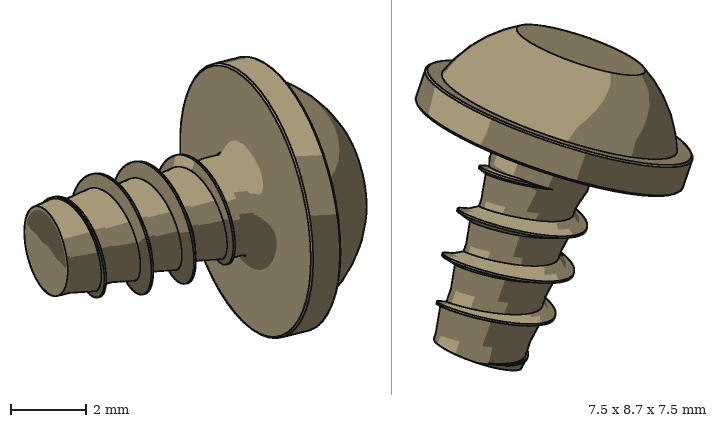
import cadquery as cq
import math


flange_radius = 3.75
flange_thickness = 0.9
flange_edge = 0.05
head_height = 2.7
dome_base_radius = 3.3
dome_top_radius = 1.8

shank_length = 6.0
neck_radius = 1.375
underhead_fillet = 0.5
neck_end = -0.87
cone_end = -1.41
root_radius = 1.227
tip_dent_radius = 1.13
tip_dent_depth = 0.1

pitch = 1.283
crest_radius = 1.742
first_crest_y = -1.18
first_turn = -0.5
last_turn = 4.25
points_per_turn = 16

rise_start_turn = -0.25
rise_end_turn = 0.75
rise_height = 0.25
fall_start_turn = 2.2
fall_per_turn = 0.34

crest_half_width = 0.03
kink_offset = -0.11
kink_radius = 1.48
leading_foot_offset = -0.275
trailing_foot_offset = 0.188
trailing_foot_radius = 1.327
buried_radius = 1.1
trim_radius = 2 * crest_radius

taper_end_offset = 0.808
taper_tip_radius = 1.232
taper_overrun = 0.06
taper_slope = (trailing_foot_radius - root_radius) / (taper_end_offset - trailing_foot_offset)


def make_body():
    """Head, neck and plain root cylinder as one turned profile."""
    dome_centre_y = (
        head_height**2 + dome_top_radius**2 - flange_thickness**2 - dome_base_radius**2
    ) / (2 * (head_height - flange_thickness))
    dome_radius = math.hypot(dome_top_radius, head_height - dome_centre_y)
    dome_mid_y = (head_height + flange_thickness) / 2
    dome_mid_radius = math.sqrt(dome_radius**2 - (dome_mid_y - dome_centre_y) ** 2)
    fillet_outer_radius = neck_radius + underhead_fillet
    fillet_inset = underhead_fillet * (1 - math.sqrt(0.5))
    return (
        cq.Workplane("XY")
        .moveTo(0, head_height)
        .lineTo(dome_top_radius, head_height)
        .threePointArc((dome_mid_radius, dome_mid_y), (dome_base_radius, flange_thickness))
        .lineTo(flange_radius - flange_edge, flange_thickness)
        .lineTo(flange_radius, flange_thickness - flange_edge)
        .lineTo(flange_radius, flange_edge)
        .lineTo(flange_radius - flange_edge, 0)
        .lineTo(fillet_outer_radius, 0)
        .threePointArc(
            (neck_radius + fillet_inset, -fillet_inset), (neck_radius, -underhead_fillet)
        )
        .lineTo(neck_radius, neck_end)
        .lineTo(root_radius, cone_end)
        .lineTo(root_radius, -shank_length)
        .lineTo(0, -shank_length)
        .close()
        .revolve(360, (0, 0, 0), (0, 1, 0))
    )


def crest_sink(turn):
    """How far the tooth is sunk towards the axis at a given turn."""
    start_sink = rise_height * max(0, rise_end_turn - turn) / (rise_end_turn - rise_start_turn)
    end_sink = fall_per_turn * max(0, turn - fall_start_turn)
    return start_sink + end_sink


def no_sink(turn):
    """The core taper keeps the same radius at every turn."""
    return 0


def helix_edge(offset, radius, sink):
    """Helix through one corner of a thread section."""
    steps = math.ceil((last_turn - first_turn) * points_per_turn)
    points = []
    for step in range(steps + 1):
        turn = first_turn + (last_turn - first_turn) * step / steps
        angle = 2 * math.pi * turn
        local_radius = radius - sink(turn)
        y = first_crest_y - offset - pitch * turn
        points.append(cq.Vector(local_radius * math.cos(angle), y, local_radius * math.sin(angle)))
    return cq.Edge.makeSpline(points)


def make_ridge(section, sink):
    """Helical solid swept by a section given as (offset, radius) corners."""
    edges = [helix_edge(offset, radius, sink) for offset, radius in section]
    next_edges = edges[1:] + edges[:1]
    faces = [cq.Face.makeRuledSurface(a, b) for a, b in zip(edges, next_edges)]
    for end in (0, 1):
        corners = [edge.positionAt(end) for edge in edges]
        faces.append(cq.Face.makeFromWires(cq.Wire.makePolygon(corners, close=True)))
    ridge = cq.Solid.makeSolid(cq.Shell.makeShell(faces))
    return cq.Workplane(ridge.fix())


def make_tooth():
    """Cutting tooth with a kinked leading flank, its feet continued into the core."""
    leading_slope = (kink_offset - leading_foot_offset) / (kink_radius - root_radius)
    trailing_slope = (trailing_foot_offset - crest_half_width) / (crest_radius - trailing_foot_radius)
    section = [
        (leading_foot_offset - leading_slope * (root_radius - buried_radius), buried_radius),
        (kink_offset, kink_radius),
        (-crest_half_width, crest_radius),
        (crest_half_width, crest_radius),
        (trailing_foot_offset + trailing_slope * (trailing_foot_radius - buried_radius), buried_radius),
    ]
    return make_ridge(section, crest_sink)


def make_core_taper():
    """Low wedge that makes the core taper from each tooth towards the next."""
    end_offset = taper_end_offset + taper_overrun
    section = [
        (0, buried_radius),
        (0, root_radius + taper_slope * taper_end_offset),
        (end_offset, root_radius - taper_slope * taper_overrun),
        (end_offset, buried_radius),
    ]
    return make_ridge(section, no_sink)


def make_trim_cone(tip_end_radius, slope):
    """Solid between neck and tip that trims a ridge; its radius grows with slope from the tip."""
    length = shank_length + neck_end
    neck_end_radius = tip_end_radius + slope * length
    return (
        cq.Workplane("XY")
        .moveTo(0, -shank_length)
        .lineTo(tip_end_radius, -shank_length)
        .lineTo(neck_end_radius, neck_end)
        .lineTo(0, neck_end)
        .close()
        .revolve(360, (0, 0, 0), (0, 1, 0))
    )


def make_tip_dent():
    """Shallow conical dent in the tip face."""
    return cq.Workplane(
        cq.Solid.makeCone(
            tip_dent_radius, 0, tip_dent_depth, cq.Vector(0, -shank_length, 0), cq.Vector(0, 1, 0)
        )
    )


core_taper = make_core_taper().intersect(make_trim_cone(taper_tip_radius, taper_slope))
tooth = make_tooth().intersect(make_trim_cone(trim_radius, 0))
screw = make_body().union(core_taper).union(tooth).cut(make_tip_dent())
result = screw.solids()